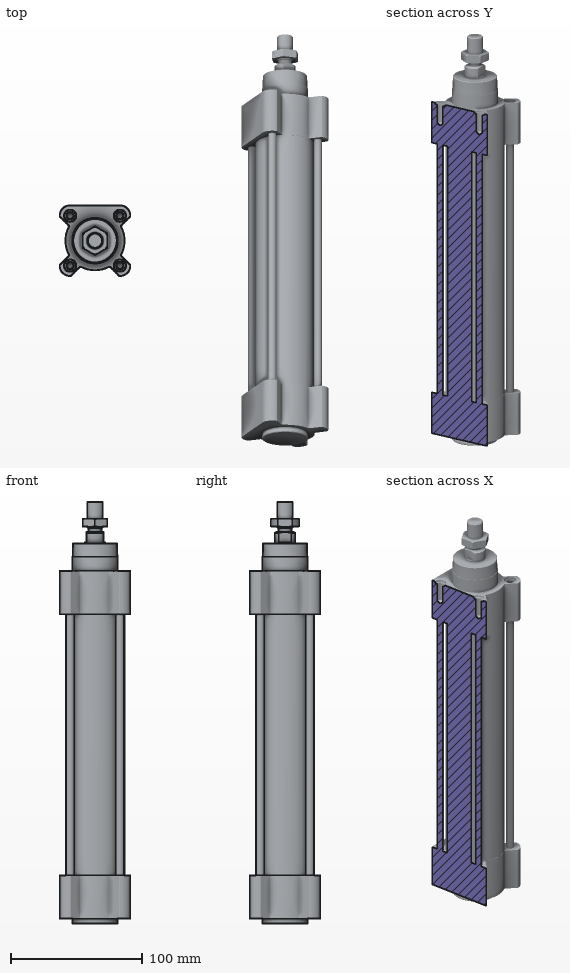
import cadquery as cq
import math

cap_height = 33.0
barrel_length = 199.0
front_cap_z = cap_height + barrel_length
front_face_z = front_cap_z + cap_height
rear_spigot_height = 4.0
rod_tip_z = 317.9

cap_diameter = 45.3
barrel_diameter = 45.0
cap_size = 54.0
tie_rod_spacing = 38.0
tie_rod_diameter = 6.0
lug_offset = tie_rod_spacing / 2
lug_radius = cap_size / 2 - lug_offset
lug_width = 12.0
lug_edge_radius = 1.2
lug_angles = (45, 135, 225, 315)

socket_steps = ((9.5, 0.6), (9.0, 1.2), (6.0, 1.8), (4.92, 16.0))
drill_point_angle = 118.0

collar_diameter = 35.0
collar_step_height = 10.7
collar_height = 21.2
nose_base_diameter = 34.4
nose_top_diameter = 33.8
nose_chamfer = 0.4

spigot_base_diameter = 34.0
spigot_taper_height = 2.5
spigot_chamfer = 0.5

rod_diameter = 16.0
rod_end_z = front_cap_z
flat_spacing = 13.0
flat_bottom_z = front_face_z + collar_height + 0.8
shoulder_z = rod_tip_z - 24.0
shoulder_cone_height = 1.2
shoulder_small_diameter = 11.45

thread_diameter = 12.0
thread_length = 19.4
thread_tip_diameter = 10.65
undercut_diameter = 10.2

nut_width = 19.0
nut_corner_diameter = nut_width / math.cos(math.pi / 6)
nut_height = 6.0
nut_top_z = rod_tip_z - 13.0
nut_bevel_diameter = 20.4
nut_bevel_angle = 30.0


def cylinder(diameter, base_z, height):
    return cq.Workplane("XY").workplane(offset=base_z).circle(diameter / 2).extrude(height)


def turned(points):
    """Solid of revolution about Z from (radius, z) points, closed along the axis."""
    axis_start = (0, points[0][1])
    axis_end = (0, points[-1][1])
    profile = cq.Workplane("XZ").polyline([axis_start, *points, axis_end]).close()
    return profile.revolve(360, (0, 0, 0), (0, 1, 0))


def make_lug():
    """One lug along +X: parallel sides whose outer end is rounded by the lug circle."""
    centre_distance = math.hypot(lug_offset, lug_offset)
    reach = centre_distance + lug_radius
    corner_x = centre_distance + math.sqrt(lug_radius**2 - (lug_width / 2) ** 2)
    return (
        cq.Workplane("XY")
        .moveTo(0, -lug_width / 2)
        .lineTo(corner_x, -lug_width / 2)
        .threePointArc((reach, 0), (corner_x, lug_width / 2))
        .lineTo(0, lug_width / 2)
        .close()
        .extrude(cap_height)
    )


def make_web():
    """Fills the space between the two +Y lugs out to a flat face that is tangent to both lug circles."""
    outer_y = cap_size / 2
    diagonal = lug_offset + lug_radius * math.sin(math.pi / 4)
    return (
        cq.Workplane("XY")
        .moveTo(0, 0)
        .lineTo(diagonal, diagonal)
        .radiusArc((lug_offset, outer_y), -lug_radius)
        .lineTo(-lug_offset, outer_y)
        .tangentArcPoint((-diagonal, diagonal), relative=False)
        .close()
        .extrude(cap_height)
    )


def make_cap():
    cap = cylinder(cap_diameter, 0, cap_height)
    lug = make_lug()
    for angle in lug_angles:
        cap = cap.union(lug.rotate((0, 0, 0), (0, 0, 1), angle))
    cap = cap.union(make_web())
    below_web = cq.selectors.BoxSelector((-cap_size, -cap_size, 0), (cap_size, lug_offset, cap_height))
    return cap.edges("|Z").edges(below_web).fillet(lug_edge_radius)


def make_socket():
    points = []
    floor_z = 0
    for diameter, depth in socket_steps:
        points.append((diameter / 2, floor_z))
        floor_z = -depth
        points.append((diameter / 2, floor_z))
    tip_height = points[-1][0] / math.tan(math.radians(drill_point_angle / 2))
    points.append((0.0, floor_z - tip_height))
    profile = cq.Workplane("XZ").polyline([(0, 0), *points]).close()
    return profile.revolve(360, (0, 0, 0), (0, 1, 0))


def make_collar():
    step_z = front_face_z + collar_step_height
    return turned([
        (collar_diameter / 2, front_face_z),
        (collar_diameter / 2, step_z),
        (nose_base_diameter / 2, step_z),
        (nose_top_diameter / 2, front_face_z + collar_height - nose_chamfer),
        (nose_top_diameter / 2 - nose_chamfer, front_face_z + collar_height),
    ])


def make_spigot():
    rim_radius = collar_diameter / 2
    return turned([
        (spigot_base_diameter / 2, 0),
        (rim_radius, -spigot_taper_height),
        (rim_radius, spigot_chamfer - rear_spigot_height),
        (rim_radius - spigot_chamfer, -rear_spigot_height),
    ])


def make_housing():
    cap = make_cap()
    housing = cylinder(barrel_diameter, cap_height, barrel_length)
    housing = housing.union(cap).union(cap.translate((0, 0, front_cap_z)))
    housing = housing.union(make_collar()).union(make_spigot())
    socket = make_socket()
    for x in (-lug_offset, lug_offset):
        for y in (-lug_offset, lug_offset):
            tie_rod = cylinder(tie_rod_diameter, cap_height, barrel_length)
            housing = housing.union(tie_rod.translate((x, y, 0)))
            housing = housing.cut(socket.translate((x, y, front_face_z)))
    return housing.cut(cylinder(rod_diameter, rod_end_z, rod_tip_z - rod_end_z))


def make_rod():
    rod_radius = rod_diameter / 2
    thread_radius = thread_diameter / 2
    undercut_radius = undercut_diameter / 2
    cone_top_z = shoulder_z + shoulder_cone_height
    thread_end_z = rod_tip_z - thread_length
    tip_chamfer = (thread_diameter - thread_tip_diameter) / 2
    rod = turned([
        (rod_radius, rod_end_z),
        (rod_radius, shoulder_z),
        (shoulder_small_diameter / 2, cone_top_z),
        (undercut_radius, cone_top_z),
        (undercut_radius, thread_end_z - (thread_radius - undercut_radius)),
        (thread_radius, thread_end_z),
        (thread_radius, rod_tip_z - tip_chamfer),
        (thread_tip_diameter / 2, rod_tip_z),
    ])
    flat_height = rod_tip_z - flat_bottom_z
    for side in (-1, 1):
        flat_cutter = (
            cq.Workplane("XY")
            .workplane(offset=flat_bottom_z)
            .center(side * (flat_spacing + rod_diameter) / 2, 0)
            .rect(rod_diameter, 2 * rod_diameter)
            .extrude(flat_height)
        )
        rod = rod.cut(flat_cutter)
    return rod


def make_nut():
    """Hexagon with flats facing +X and -X and its corners bevelled on both ends."""
    base_z = nut_top_z - nut_height
    nut = (
        cq.Workplane("XY")
        .workplane(offset=base_z)
        .polygon(6, nut_corner_diameter)
        .extrude(nut_height)
        .rotate((0, 0, 0), (0, 0, 1), 30)
    )
    bevel_rise = (nut_corner_diameter - nut_bevel_diameter) / 2 * math.tan(math.radians(nut_bevel_angle))
    bevelled_blank = turned([
        (nut_bevel_diameter / 2, base_z),
        (nut_corner_diameter / 2, base_z + bevel_rise),
        (nut_corner_diameter / 2, nut_top_z - bevel_rise),
        (nut_bevel_diameter / 2, nut_top_z),
    ])
    return nut.intersect(bevelled_blank).cut(cylinder(thread_diameter, base_z, nut_height))


housing = make_housing()
rod = make_rod()
nut = make_nut()
result = cq.Compound.makeCompound([housing.val(), rod.val(), nut.val()])